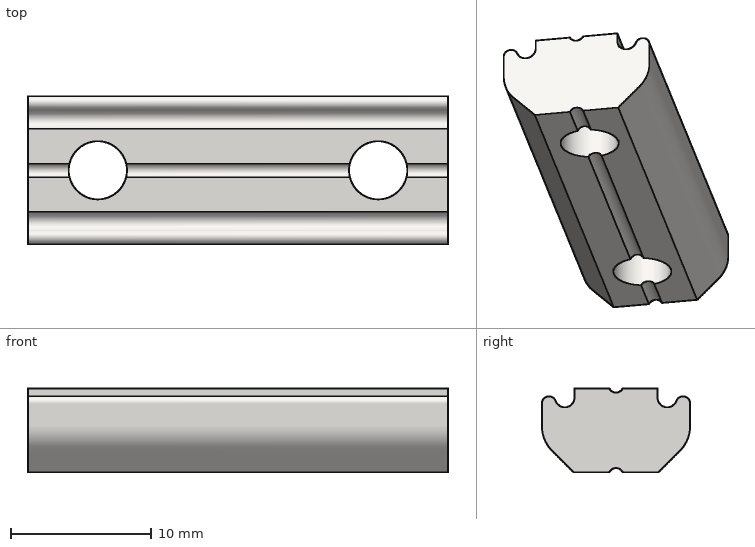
import cadquery as cq
import math

length = 30.0
width = 10.6
height = 6.0
half_width = width / 2

hole_diameter = 4.15
hole_spacing = 20.0

land_half_width = 2.97
groove_half_width = 0.48
groove_depth = 0.3

channel_radius = 0.7
lip_radius = 0.5
lip_top = 5.43

bottom_half_width = 3.03
flank_radius = 2.43

channel_y = land_half_width + channel_radius
lip_y = half_width - lip_radius
lip_z = lip_top - lip_radius
center_distance = channel_radius + lip_radius
tangent_angle = -math.acos((lip_y - channel_y) / center_distance)
channel_z = lip_z - center_distance * math.sin(tangent_angle)
channel_floor = channel_z - channel_radius

diagonal = math.sqrt(0.5)
flank_y = half_width - flank_radius
slope_top_y = flank_y + flank_radius * diagonal
slope_top_z = slope_top_y - bottom_half_width
flank_z = slope_top_z + flank_radius * diagonal


def on_circle(center_y, center_z, radius, angle):
    """Point on a circle in the YZ cross-section."""
    return (center_y + radius * math.cos(angle), center_z + radius * math.sin(angle))


def half_body():
    """The +Y half of the extruded cross-section, without the centre grooves."""
    s_curve_joint = on_circle(channel_y, channel_z, channel_radius, tangent_angle)
    flank_middle = on_circle(flank_y, flank_z, flank_radius, -math.pi / 8)
    return (
        cq.Workplane("YZ", origin=(-length / 2, 0, 0))
        .moveTo(0, 0)
        .lineTo(bottom_half_width, 0)
        .lineTo(slope_top_y, slope_top_z)
        .threePointArc(flank_middle, (half_width, flank_z))
        .lineTo(half_width, lip_z)
        .threePointArc((lip_y, lip_top), s_curve_joint)
        .threePointArc((channel_y, channel_floor), (land_half_width, channel_z))
        .lineTo(land_half_width, height)
        .lineTo(0, height)
        .close()
        .extrude(length)
    )


def centre_groove(face_z, inward):
    """Cutter for a round-bottomed groove in the top or bottom face."""
    return (
        cq.Workplane("YZ", origin=(-length / 2, 0, 0))
        .moveTo(-groove_half_width, face_z)
        .threePointArc((0, face_z + inward * groove_depth), (groove_half_width, face_z))
        .close()
        .extrude(length)
    )


right_half = half_body()
body = right_half.union(right_half.mirror("XZ")).clean()
body = body.cut(centre_groove(height, -1)).cut(centre_groove(0, 1))

holes = (
    cq.Workplane("XY")
    .pushPoints([(-hole_spacing / 2, 0), (hole_spacing / 2, 0)])
    .circle(hole_diameter / 2)
    .extrude(height)
)
result = body.cut(holes)